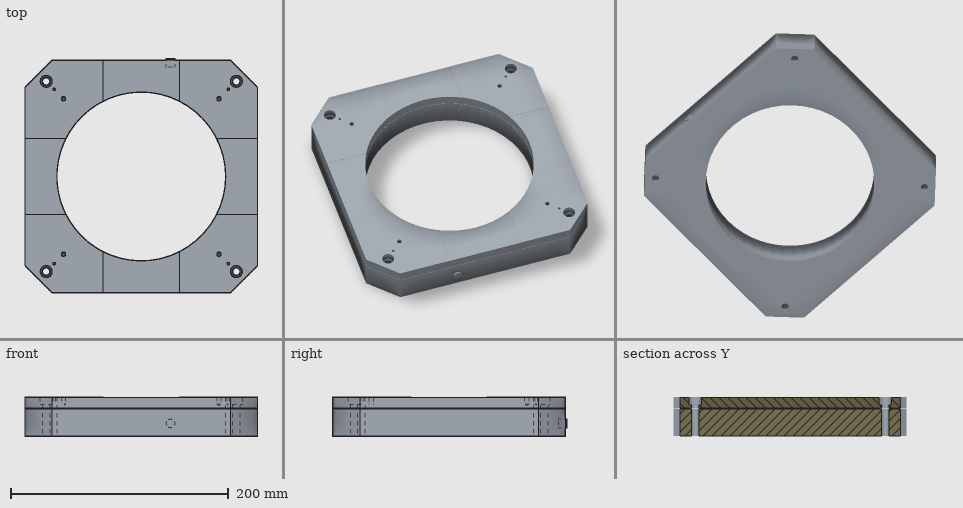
import cadquery as cq
import math

side = 214.0
overall_y = 215.2
overall_height = 36.0
corner_cut = 25.0
bore_diameter = 155

plate_thickness = 10.1
gap = 0.32
plate_bottom_z = overall_height - plate_thickness
base_height = plate_bottom_z - gap

recess_width = 70.0
recess_depth = 0.2

screw_offset = 87.4
screw_hole_diameter = 6.7
counterbore_diameter = 11.0
counterbore_depth = 6.9
pin_hole_offset = 80.0
pin_hole_diameter = 2.4
threaded_hole_offset = 71.5
threaded_hole_diameter = 4.0
blind_hole_depth = 6.5
drill_point_angle = 118

plug_diameter = 8.0
plug_x = 27.0
plug_z = 11.8
plug_projection = overall_y - side
plug_insertion = 6.5


def corner_points(offset):
    return [(sx * offset, sy * offset) for sx in (-1, 1) for sy in (-1, 1)]


def corner_cylinders(offset, diameter, bottom_z, height):
    return (
        cq.Workplane("XY", origin=(0, 0, bottom_z))
        .pushPoints(corner_points(offset))
        .circle(diameter / 2)
        .extrude(height)
    )


def drilled_corner_holes(offset, diameter):
    """Four blind holes from the plate's top face, each ending in a conical drill point."""
    radius = diameter / 2
    tip_length = radius / math.tan(math.radians(drill_point_angle / 2))
    profile = [
        (0, 0),
        (radius, 0),
        (radius, -blind_hole_depth),
        (0, -blind_hole_depth - tip_length),
    ]
    drill = cq.Workplane("XZ").polyline(profile).close().revolve(360, (0, 0), (0, 1)).val()
    return (
        cq.Workplane("XY", origin=(0, 0, overall_height))
        .pushPoints(corner_points(offset))
        .eachpoint(lambda location: drill.moved(location))
    )


def octagonal_ring(bottom_z, height):
    """Square block with cut corners, a round bore and a screw hole in each corner."""
    block = (
        cq.Workplane("XY", origin=(0, 0, bottom_z))
        .rect(side, side)
        .extrude(height)
        .edges("|Z")
        .chamfer(corner_cut)
    )
    bore = cq.Workplane("XY", origin=(0, 0, bottom_z)).circle(bore_diameter / 2).extrude(height)
    screw_holes = corner_cylinders(screw_offset, screw_hole_diameter, bottom_z, height)
    return block.cut(bore).cut(screw_holes)


def cross_recess():
    floor = cq.Workplane("XY", origin=(0, 0, overall_height - recess_depth))
    band_along_x = floor.rect(side, recess_width).extrude(recess_depth)
    band_along_y = floor.rect(recess_width, side).extrude(recess_depth)
    return band_along_x.union(band_along_y)


def make_plug():
    outer_face_y = side / 2 + plug_projection
    return (
        cq.Workplane("XZ", origin=(plug_x, outer_face_y, plug_z))
        .circle(plug_diameter / 2)
        .extrude(plug_projection + plug_insertion)
    )


def make_base():
    return octagonal_ring(0, base_height).cut(make_plug())


def make_plate():
    counterbore_floor_z = overall_height - counterbore_depth
    counterbores = corner_cylinders(
        screw_offset, counterbore_diameter, counterbore_floor_z, counterbore_depth
    )
    return (
        octagonal_ring(plate_bottom_z, plate_thickness)
        .cut(cross_recess())
        .cut(counterbores)
        .cut(drilled_corner_holes(pin_hole_offset, pin_hole_diameter))
        .cut(drilled_corner_holes(threaded_hole_offset, threaded_hole_diameter))
    )


base = make_base()
plate = make_plate()
plug = make_plug()

result = cq.Compound.makeCompound([base.val(), plate.val(), plug.val()])